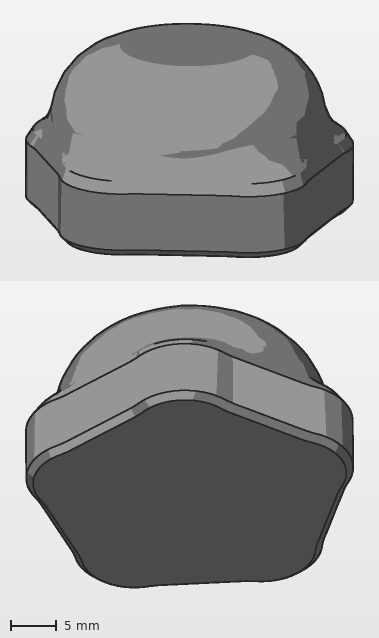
import cadquery as cq
import math

SIDES = 5
PITCH = 360 / SIDES
CORNER_ANGLE = PITCH / 2
FIRST_SIDE_ANGLE = 16
SIDE_REACH = 15.95
CORNER_REACH = 18.4
FLAT_HALF_WIDTH = 4.7
BULGE_HALF_WIDTH = 5.55
BULGE_STEP = 0.07

ROUND_NARROWING = 0.09
STRAIGHT_TOLERANCE = 0.0005

TOTAL_HEIGHT = 19.2
WALL_TOP = 7.15
BOTTOM_CHAMFER = 0.75

TOP_FLAT_RADIUS = 15 / 2
DOME_RADIUS = 15
DOME_ARC_RADIUS = 8.3

SHOULDER = (8.4, 15.5, 17.6)
SKIRT_STATIONS = [
    SHOULDER,
    (9.3, 15.23, 16.4),
    (10.25, 15.1, 15.7),
    (11.25, 14.98, 15.23),
    (12.87, 14.62, 14.65),
]

LEAN_TO_PLUS_X = 0.7
LEAN_TO_MINUS_Y = 0.3


def polar(radius, angle):
    """Point at the given radius and angle in degrees."""
    turn = math.radians(angle)
    return (radius * math.cos(turn), radius * math.sin(turn))


def angle_and_share(half_width, reach):
    """Direction of an outline joint, and its share of the rise from side to corner."""
    angle = math.degrees(math.atan2(half_width, reach))
    share = (math.hypot(half_width, reach) - SIDE_REACH) / (CORNER_REACH - SIDE_REACH)
    return angle, share


FLAT_ANGLE, FLAT_SHARE = angle_and_share(FLAT_HALF_WIDTH, SIDE_REACH)
BULGE_ANGLE, BULGE_SHARE = angle_and_share(BULGE_HALF_WIDTH, SIDE_REACH + BULGE_STEP)


def outline(work, side_reach, corner_reach):
    """Closed five-sided outline; its sides round out as the two reaches get closer."""
    rise = corner_reach - side_reach
    flat_radius = side_reach + FLAT_SHARE * rise
    bulge_radius = side_reach + BULGE_SHARE * rise
    roundness = 1 - rise / (CORNER_REACH - SIDE_REACH)
    narrowing = 1 - ROUND_NARROWING * roundness
    flat_angle = FLAT_ANGLE * narrowing
    bulge_angle = BULGE_ANGLE * narrowing
    bow = side_reach - flat_radius * math.cos(math.radians(flat_angle))
    work = work.moveTo(*polar(flat_radius, FIRST_SIDE_ANGLE - flat_angle))
    for side in range(SIDES):
        middle = FIRST_SIDE_ANGLE + side * PITCH
        corner = middle + CORNER_ANGLE
        following = middle + PITCH
        side_end = polar(flat_radius, middle + flat_angle)
        if bow > STRAIGHT_TOLERANCE:
            work = work.threePointArc(polar(side_reach, middle), side_end)
        else:
            work = work.lineTo(*side_end)
        work = work.lineTo(*polar(bulge_radius, middle + bulge_angle))
        work = work.threePointArc(polar(corner_reach, corner), polar(bulge_radius, following - bulge_angle))
        if side < SIDES - 1:
            work = work.lineTo(*polar(flat_radius, following - flat_angle))
    return work.close()


def lofted(stations, ruled):
    """Solid through outlines given as (height, side reach, corner reach)."""
    work = cq.Workplane("XY")
    level = 0
    for height, side_reach, corner_reach in stations:
        work = outline(work.workplane(offset=height - level), side_reach, corner_reach)
        level = height
    return work.loft(ruled=ruled, combine=True)


def base():
    """Upright wall with a chamfer below and a sloping shoulder above."""
    wall = outline(cq.Workplane("XY"), SIDE_REACH, CORNER_REACH).extrude(WALL_TOP)
    wall = wall.faces("<Z").chamfer(BOTTOM_CHAMFER)
    shoulder = lofted([(WALL_TOP, SIDE_REACH, CORNER_REACH), SHOULDER], ruled=True)
    return wall.union(shoulder)


def dome():
    """Round cap with a flat top, continued down as a cylinder inside the base."""
    arc_center_radius = DOME_RADIUS - DOME_ARC_RADIUS
    top_angle = math.acos((TOP_FLAT_RADIUS - arc_center_radius) / DOME_ARC_RADIUS)
    arc_center_height = TOTAL_HEIGHT - DOME_ARC_RADIUS * math.sin(top_angle)
    mid_point = (
        arc_center_radius + DOME_ARC_RADIUS * math.cos(top_angle / 2),
        arc_center_height + DOME_ARC_RADIUS * math.sin(top_angle / 2),
    )
    return (
        cq.Workplane("XZ")
        .moveTo(0, WALL_TOP)
        .lineTo(DOME_RADIUS, WALL_TOP)
        .lineTo(DOME_RADIUS, arc_center_height)
        .threePointArc(mid_point, (TOP_FLAT_RADIUS, TOTAL_HEIGHT))
        .lineTo(0, TOTAL_HEIGHT)
        .close()
        .revolve(360, (0, 0, 0), (0, 1, 0))
    )


upright = base().union(lofted(SKIRT_STATIONS, ruled=False)).union(dome())
result = (
    upright
    .rotate((0, 0, 0), (0, 1, 0), LEAN_TO_PLUS_X)
    .rotate((0, 0, 0), (1, 0, 0), LEAN_TO_MINUS_Y)
)